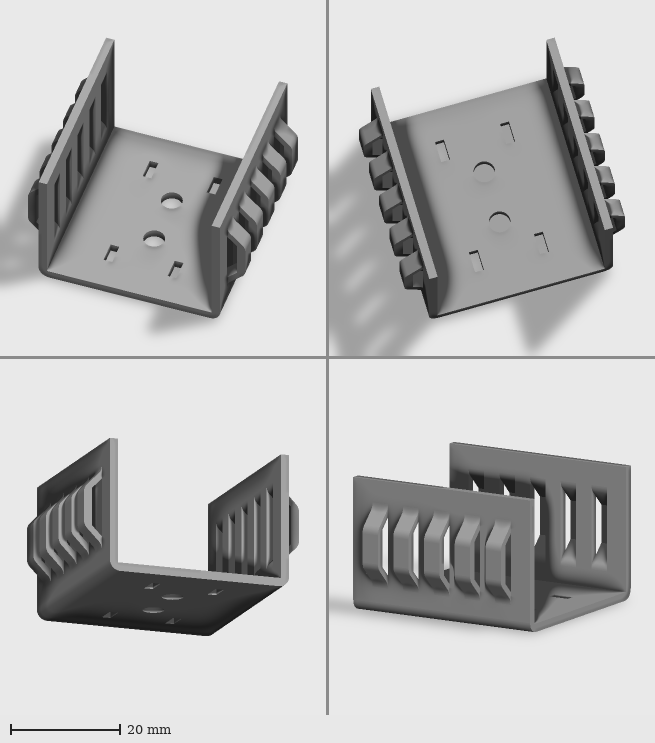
import cadquery as cq
import math

overall_width = 42.0
length = 38.0
height = 25.0
thickness = 1.6
bend_radius = 2.0
strap_bulge = 3.5

strap_count = 5
strap_width = 3.3
strap_pitch = 6.6
strap_center_z = 12.85
strap_crest_half = 3.55

hole_diameter = 4.0
hole_spacing = 10.0
slot_width = 1.7
slot_length = 4.0
slot_spacing_x = 12.4
slot_spacing_y = 22.0

wall_outer = overall_width / 2 - strap_bulge
wall_inner = wall_outer - thickness
strap_foot_half = strap_crest_half + strap_bulge

slope = math.radians(45)
bend_tangent = bend_radius * math.tan(slope / 2)
bend_step = bend_tangent * math.sin(slope)


def make_channel():
    """Plain U channel with a sharp inside corner and rounded outside bends."""
    block = cq.Workplane("XY").box(2 * wall_outer, length, height, centered=(True, True, False))
    block = block.edges("|Y and <Z").fillet(bend_radius)
    cavity = (
        cq.Workplane("XY")
        .workplane(offset=thickness)
        .box(2 * wall_inner, length, height, centered=(True, True, False))
    )
    return block.cut(cavity)


def bulge_bar(base_x, center_y, rounded_crest):
    """Trapezoid bar rising toward +X from the plane X = base_x, with flared feet."""
    crest_x = base_x + strap_bulge
    z = strap_center_z
    foot = strap_foot_half
    crest = strap_crest_half

    profile = cq.Workplane("XZ", origin=(0, center_y + strap_width / 2, 0))
    profile = profile.moveTo(base_x, z - foot - bend_tangent)
    profile = profile.radiusArc((base_x + bend_step, z - foot + bend_step), bend_radius)
    if rounded_crest:
        profile = (
            profile.lineTo(crest_x - bend_step, z - crest - bend_step)
            .radiusArc((crest_x, z - crest + bend_tangent), -bend_radius)
            .lineTo(crest_x, z + crest - bend_tangent)
            .radiusArc((crest_x - bend_step, z + crest + bend_step), -bend_radius)
        )
    else:
        profile = profile.lineTo(crest_x, z - crest).lineTo(crest_x, z + crest)
    profile = (
        profile.lineTo(base_x + bend_step, z + foot - bend_step)
        .radiusArc((base_x, z + foot + bend_tangent), bend_radius)
        .close()
    )
    return profile.extrude(strap_width)


def add_straps(body):
    """Row of hollow straps on both walls, each open through the wall behind it."""
    for index in range(strap_count):
        center_y = (index - (strap_count - 1) / 2) * strap_pitch
        strap = bulge_bar(wall_outer, center_y, rounded_crest=True)
        opening = bulge_bar(wall_inner, center_y, rounded_crest=False)
        body = body.union(strap).union(strap.mirror("YZ"))
        body = body.cut(opening).cut(opening.mirror("YZ"))
    return body


def cut_floor_openings(body):
    """Two round holes on the centre line and four slots around them."""
    holes = (
        cq.Workplane("XY")
        .rarray(0.4, hole_spacing, 1, 2)
        .circle(hole_diameter / 2)
        .extrude(thickness)
    )
    slots = (
        cq.Workplane("XY")
        .rarray(slot_spacing_x, slot_spacing_y, 2, 2)
        .rect(slot_width, slot_length)
        .extrude(thickness)
    )
    return body.cut(holes).cut(slots)


result = cut_floor_openings(add_straps(make_channel()))